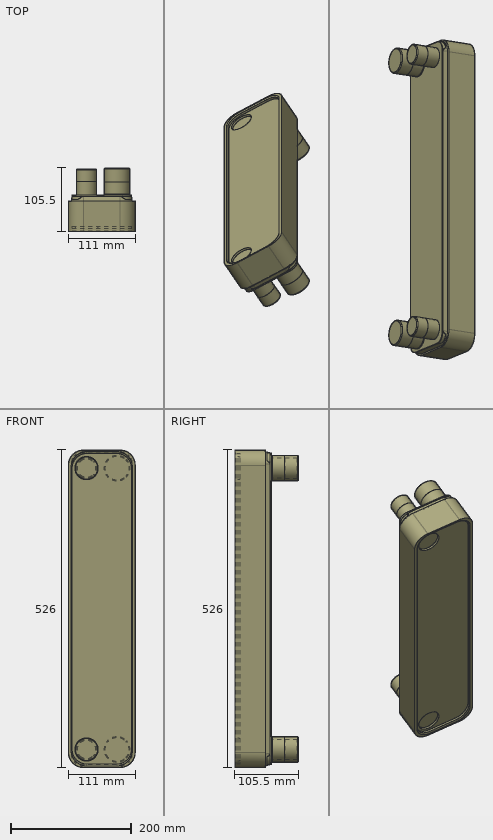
import cadquery as cq


pack_width = 111.0
pack_height = 526.0
pack_depth = 50.5
pack_corner_radius = 25.0

rim_side_width = 4.5
rim_end_width = 2.5
mouth_depth = 1.5
mouth_side_taper = 1.5
mouth_end_taper = 3.0
mouth_radius = 26.0
pocket_depth = 5.0

front_cover_thickness = 3.0
hole_mouth_diameter = 38.5
hole_floor_diameter = 37.0
back_cover_width = 99.0
back_cover_height = 516.5
back_cover_thickness = 7.5
back_cover_corner_radius = 14.5

boss_height = 8.0
boss_side_taper = 1.0
boss_end_taper = 2.0
boss_root_radius = 20.0
back_cover_lip = 2.0

port_x = 25.0
port_z = 233.0
large_port_diameter = 42.5
large_port_reach = 105.5
large_port_tip_length = 23.0
large_port_foot = 1.5
small_port_diameter = 33.5
small_port_reach = 104.0
small_port_tip_length = 21.0
port_step = 0.1
port_chamfer = 1.5

mouth_width = pack_width - 2 * rim_side_width
mouth_height = pack_height - 2 * rim_end_width
floor_width = mouth_width - 2 * mouth_side_taper
floor_height = mouth_height - 2 * mouth_end_taper
floor_radius = mouth_radius - mouth_side_taper
front_cover_back = pocket_depth + front_cover_thickness
boss_root_width = back_cover_width + 2 * boss_side_taper
boss_root_height = back_cover_height + 2 * boss_end_taper
boss_top = pack_depth + boss_height
back_face = boss_top + back_cover_lip
port_ends = (-1, 1)


def rounded_sketch(width, height, radius):
    """Rounded rectangle, width along X and height along Z."""
    return cq.Sketch().rect(width, height).vertices().fillet(radius)


def rounded_plate(width, height, radius, y_front, y_back):
    """Rounded rectangular plate with walls along Y."""
    outline = rounded_sketch(width, height, radius)
    return cq.Workplane("XZ", origin=(0, y_front, 0)).placeSketch(outline).extrude(y_front - y_back)


def tapered_plate(width, height, radius, side_taper, end_taper, y_wide, y_narrow):
    """Rounded rectangular plate that narrows from y_wide to y_narrow."""
    wide = rounded_sketch(width, height, radius)
    narrow = rounded_sketch(width - 2 * side_taper, height - 2 * end_taper, radius - side_taper)
    narrow = narrow.moved(cq.Location(cq.Vector(0, 0, y_wide - y_narrow)))
    return cq.Workplane("XZ", origin=(0, y_wide, 0)).placeSketch(wide, narrow).loft()


def make_pack():
    block = rounded_plate(pack_width, pack_height, pack_corner_radius, 0, pack_depth)
    boss = tapered_plate(
        boss_root_width, boss_root_height, boss_root_radius,
        boss_side_taper, boss_end_taper, pack_depth, boss_top,
    )
    mouth = tapered_plate(
        mouth_width, mouth_height, mouth_radius,
        mouth_side_taper, mouth_end_taper, 0, mouth_depth,
    )
    pocket = rounded_plate(floor_width, floor_height, floor_radius, mouth_depth, front_cover_back)
    return block.union(boss).cut(mouth).cut(pocket)


def make_front_cover():
    """Sheet in the bottom of the pocket, with a conical hole at each end on the -X side."""
    sheet = rounded_plate(floor_width, floor_height, floor_radius, pocket_depth, front_cover_back)
    for end in port_ends:
        hole = (
            cq.Workplane("XZ", origin=(-port_x, pocket_depth, end * port_z))
            .circle(hole_mouth_diameter / 2)
            .workplane(offset=-front_cover_thickness)
            .circle(hole_floor_diameter / 2)
            .loft()
        )
        sheet = sheet.cut(hole)
    return sheet


def make_back_cover(pack):
    """Plate over the boss; its sharper corners reach down past the rounder boss corners."""
    plate = rounded_plate(
        back_cover_width, back_cover_height, back_cover_corner_radius,
        back_face - back_cover_thickness, back_face,
    )
    return plate.cut(pack)


def cylinder(x, z, diameter, y_front, y_back):
    """Round bar along Y."""
    return cq.Workplane("XZ", origin=(x, y_front, z)).circle(diameter / 2).extrude(y_front - y_back)


def make_port(x, z, diameter, reach, tip_length, foot=0):
    """Round stub on the back cover: slightly slimmer neck, chamfered tip, optional full-size foot."""
    neck_end = reach - tip_length
    neck = cylinder(x, z, diameter - 2 * port_step, back_face, neck_end)
    tip = cylinder(x, z, diameter, neck_end, reach).faces(">Y").chamfer(port_chamfer)
    port = neck.union(tip)
    if foot > 0:
        port = port.union(cylinder(x, z, diameter, back_face, back_face + foot))
    return port


plate_pack = make_pack()
front_cover = make_front_cover()
back_cover = make_back_cover(plate_pack)

ports = []
for end in port_ends:
    small_port = make_port(
        -port_x, end * port_z, small_port_diameter, small_port_reach, small_port_tip_length
    )
    large_port = make_port(
        port_x, end * port_z, large_port_diameter, large_port_reach, large_port_tip_length,
        large_port_foot,
    )
    ports += [small_port, large_port]

result = cq.Compound.makeCompound(
    [plate_pack.val(), front_cover.val(), back_cover.val(), *[port.val() for port in ports]]
)